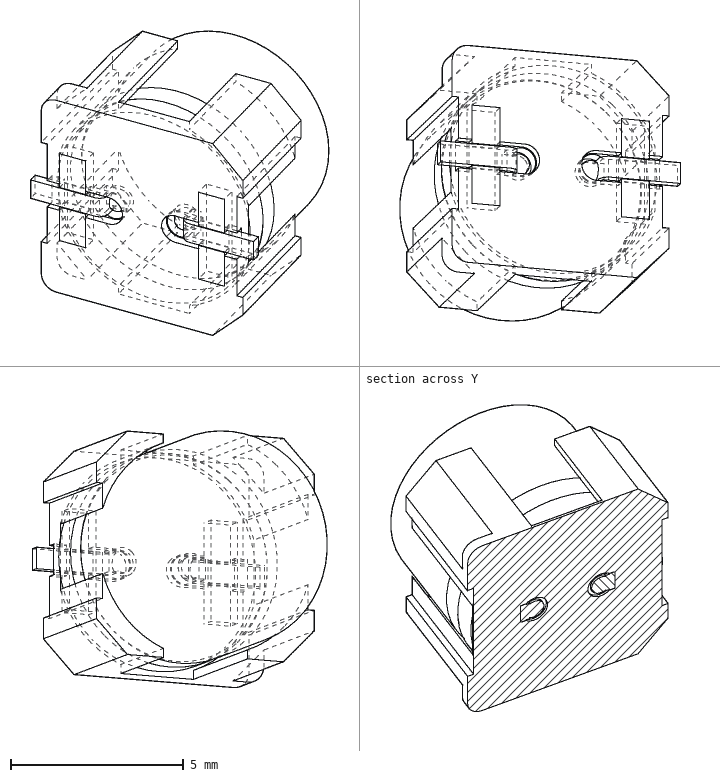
import cadquery as cq
import math

LENGTH = 6.1

BASE_SIDE = 6.6
BASE_FLOOR = 0.75
LEFT_POST_TOP = 4.5
RIGHT_POST_TOP = 3.69
POST_CHAMFER = 0.985
FOOT_FILLET = 0.5
FOOT_TOP = 1.01
BORE_RADIUS = 3.25
WINDOW_WIDTH = 2.32
RECESS_DEPTH = 0.2
RECESS_WIDTH = 3.41

CAN_RADIUS = 3.15
CAN_END_FILLET = 0.5
GROOVE_BOTTOM = 1.57
GROOVE_TOP = 2.26
GROOVE_DEPTH = 0.1

LEAD_SPAN = 7.3
STRIP_WIDTH = 0.635
STRIP_THICKNESS = 0.3
STRIP_END_X = 1.25
WIRE_X = 1.095
WIRE_RADIUS = STRIP_WIDTH / 2
WIRE_TIP = 0.3

SLOT_WIDTH = 0.905
HOLE_RADIUS = 0.42

PAD_INNER_X = 1.85
PAD_OUTER_X = 2.695
PAD_LENGTH = 2.985
PAD_DEPTH = 0.5
PAD_CHANNEL_WIDTH = 0.67

SIDES = (-1, 1)


def box(x_range, y_range, z_range):
    """Axis-aligned box between the given limits."""
    size = [high - low for low, high in (x_range, y_range, z_range)]
    return cq.Workplane("XY").box(*size, centered=False).translate(
        (x_range[0], y_range[0], z_range[0])
    )


def y_cylinder(radius, start, end, x=0.0):
    """Cylinder along Y, centred at z = 0."""
    return cq.Workplane(cq.Solid.makeCylinder(
        radius, end - start, cq.Vector(x, start, 0), cq.Vector(0, 1, 0)
    ))


def side_box(side, inner_x, outer_x, y_range, width):
    """Box on the chosen X side, centred at z = 0."""
    x_range = sorted((side * inner_x, side * outer_x))
    return box(x_range, y_range, (-width / 2, width / 2))


def make_base():
    """Chamfered tray with posts, windows, side recesses and the seats for leads and pads."""
    half = BASE_SIDE / 2
    half_window = WINDOW_WIDTH / 2
    full = (-half, half)

    upper = box(full, (FOOT_TOP, LEFT_POST_TOP), full).edges("|Y").chamfer(POST_CHAMFER)
    foot = box(full, (0, FOOT_TOP), full)
    foot = foot.edges("|Y and >X").chamfer(POST_CHAMFER)
    foot = foot.edges("|Y and <X").fillet(FOOT_FILLET)
    base = foot.union(upper)

    base = base.cut(y_cylinder(BORE_RADIUS, BASE_FLOOR, LENGTH))
    base = base.cut(box((-half_window, half_window), (BASE_FLOOR, LENGTH), full))
    base = base.cut(box((half_window, half), (RIGHT_POST_TOP, LENGTH), full))

    for side in SIDES:
        base = base.cut(side_box(side, half - RECESS_DEPTH, half, (0, LENGTH), RECESS_WIDTH))
        base = base.cut(side_box(side, WIRE_X, half, (0, STRIP_THICKNESS), SLOT_WIDTH))
        base = base.cut(y_cylinder(SLOT_WIDTH / 2, 0, STRIP_THICKNESS, side * WIRE_X))
        base = base.cut(y_cylinder(HOLE_RADIUS, 0, BASE_FLOOR, side * WIRE_X))
        base = base.cut(make_lead_leg(side))
        base = base.cut(make_pad_plate(side))
    return base


def make_can():
    """Closed cylinder with a rounded end and a crimp groove."""
    groove_half = (GROOVE_TOP - GROOVE_BOTTOM) / 2
    groove_middle = (CAN_RADIUS - GROOVE_DEPTH, GROOVE_BOTTOM + groove_half)
    fillet_middle = CAN_END_FILLET * (1 - math.sqrt(0.5))
    return (
        cq.Workplane("XY")
        .moveTo(0, BASE_FLOOR)
        .lineTo(CAN_RADIUS, BASE_FLOOR)
        .lineTo(CAN_RADIUS, GROOVE_BOTTOM)
        .threePointArc(groove_middle, (CAN_RADIUS, GROOVE_TOP))
        .lineTo(CAN_RADIUS, LENGTH - CAN_END_FILLET)
        .threePointArc(
            (CAN_RADIUS - fillet_middle, LENGTH - fillet_middle),
            (CAN_RADIUS - CAN_END_FILLET, LENGTH),
        )
        .lineTo(0, LENGTH)
        .close()
        .revolve(360, (0, 0, 0), (0, 1, 0))
    )


def make_lead_leg(side):
    """Upright leg of the bent strip, reaching from the mounting face to the can."""
    leg_outer_x = STRIP_END_X + STRIP_THICKNESS
    return side_box(side, STRIP_END_X, leg_outer_x, (0, BASE_FLOOR), STRIP_WIDTH)


def make_wire(side):
    """Round wire below the can with a hemispherical tip."""
    axis_x = side * WIRE_X
    dome_centre_y = WIRE_TIP + WIRE_RADIUS
    arc_offset = WIRE_RADIUS * math.sqrt(0.5)
    return (
        cq.Workplane("XY")
        .moveTo(axis_x, BASE_FLOOR)
        .lineTo(axis_x + WIRE_RADIUS, BASE_FLOOR)
        .lineTo(axis_x + WIRE_RADIUS, dome_centre_y)
        .threePointArc((axis_x + arc_offset, dome_centre_y - arc_offset), (axis_x, WIRE_TIP))
        .close()
        .revolve(360, (axis_x, 0, 0), (axis_x, 1, 0))
    )


def make_lead(side):
    """Strip along the mounting face, bent up to the can and joined to the wire."""
    strip = side_box(side, STRIP_END_X, LEAD_SPAN / 2, (0, STRIP_THICKNESS), STRIP_WIDTH)
    inner_side = "<X" if side > 0 else ">X"
    bent_strip = strip.union(make_lead_leg(side))
    bent_strip = bent_strip.edges(f"|Z and <Y and {inner_side}").fillet(STRIP_THICKNESS)
    return bent_strip.union(make_wire(side))


def make_pad_plate(side):
    """Full block of a pad, also the shape of its pocket in the base."""
    return side_box(side, PAD_INNER_X, PAD_OUTER_X, (0, PAD_DEPTH), PAD_LENGTH)


def make_pad(side):
    """Pad with a channel for the strip."""
    channel = side_box(side, PAD_INNER_X, PAD_OUTER_X, (0, STRIP_THICKNESS), PAD_CHANNEL_WIDTH)
    return make_pad_plate(side).cut(channel)


base = make_base()
can = make_can()
leads = [make_lead(side) for side in SIDES]
pads = [make_pad(side) for side in SIDES]

result = cq.Compound.makeCompound(
    [base.val(), can.val(), *[lead.val() for lead in leads], *[pad.val() for pad in pads]]
)